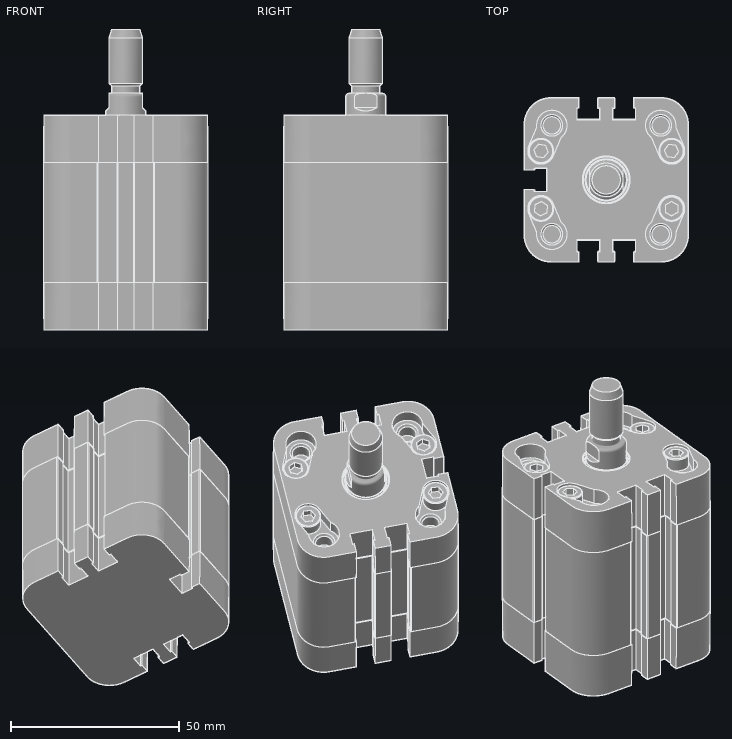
import cadquery as cq
import math

width = 49.0
corner_radius = 8.05
cap_height = 14.1
barrel_height = 35.7
cap_draft = 0.4
barrel_top = cap_height + barrel_height
housing_top = barrel_top + cap_height
total_height = 89.5

slot_cavity = 6.8
side_slot_depth = 6.7
barrel_pair_depth = 6.4
slot_mouth = 5.7
cap_lip = 3.0
barrel_lip = 3.3
cap_slot_offset = 5.3
barrel_slot_offset = 5.5
barrel_lip_chamfer = 0.3

mount_offset = 16.2
screw_x = 19.4
screw_y = 8.6
pocket_depth = 4.7
pocket_end_diameter = 9.0
pocket_width = 7.9
mount_diameter = 5.2
mount_mouth_diameter = 6.4
mount_depth = 5.4
screw_head_diameter = 7.5
screw_head_chamfer = 0.3
screw_head_recess = 0.6
socket_corner_diameter = 4.3
socket_depth = 2.5
corners = [(-1, 1, -9), (1, 1, -5), (-1, -1, 26), (1, -1, 30)]

rod_diameter = 12.0
thread_diameter = 10.0
neck_diameter = 8.4
tip_height = 2.5
thread_bottom = 73.5
neck_top = thread_bottom - (thread_diameter - neck_diameter) / 2
shoulder = 70.5
shoulder_fillet = 1.1
neck_fillet = 0.3
flat_bottom = 66.2

wiper_diameter = 12.5
wiper_recess = 0.3
groove_diameter = 13.7
groove_mouth_diameter = 14.2
groove_depth = 1.3

overlap = 0.9


def slot_cutter(lip, depth, chamfer, offset, side_angle):
    """Slot tool for the side found by turning the -Y side by side_angle about Z."""
    half_mouth = slot_mouth / 2
    half_cavity = slot_cavity / 2
    flare = half_mouth + chamfer
    right_half = [(flare, -overlap), (flare, 0)]
    if chamfer:
        right_half += [(half_mouth, chamfer), (half_mouth, lip - chamfer)]
    right_half += [(flare, lip), (half_cavity, lip), (half_cavity, depth)]
    left_half = [(-x, y) for x, y in reversed(right_half)]
    return (
        cq.Workplane("XY")
        .polyline(right_half + left_half)
        .close()
        .extrude(housing_top)
        .translate((offset, -width / 2, 0))
        .rotate((0, 0, 0), (0, 0, 1), side_angle)
    )


def cut_slots(body, lip, pair_depth, chamfer, pair_offset):
    for side_angle in (0, 180):
        for offset in (-pair_offset, pair_offset):
            body = body.cut(slot_cutter(lip, pair_depth, chamfer, offset, side_angle))
    return body.cut(slot_cutter(lip, side_slot_depth, chamfer, 0, -90))


def rounded_square():
    return cq.Sketch().rect(width, width).vertices().fillet(corner_radius)


def make_barrel():
    body = cq.Workplane("XY", origin=(0, 0, cap_height)).placeSketch(rounded_square())
    body = body.extrude(barrel_height)
    return cut_slots(body, barrel_lip, barrel_pair_depth, barrel_lip_chamfer, barrel_slot_offset)


def make_cap_blank():
    """Slotted cap with its wide face on Z = 0, narrowing upwards."""
    body = cq.Workplane("XY").placeSketch(rounded_square()).extrude(cap_height, taper=cap_draft)
    return cut_slots(body, cap_lip, side_slot_depth, 0, cap_slot_offset)


def make_bottom_cap():
    return make_cap_blank().mirror("XY").translate((0, 0, cap_height))


def make_pocket(x_side, y_side):
    """Keyhole pocket: a wide round end at the mounting hole, a parallel slot to the screw."""
    mount = (x_side * mount_offset, y_side * mount_offset)
    screw = (x_side * screw_x, y_side * screw_y)
    run_x = screw[0] - mount[0]
    run_y = screw[1] - mount[1]
    middle = ((mount[0] + screw[0]) / 2, (mount[1] + screw[1]) / 2)
    slot_length = math.hypot(run_x, run_y) + pocket_width
    slot_angle = math.degrees(math.atan2(run_y, run_x))
    slot = cq.Workplane("XY").center(*middle).slot2D(slot_length, pocket_width, slot_angle)
    round_end = cq.Workplane("XY").center(*mount).circle(pocket_end_diameter / 2)
    pocket = slot.extrude(pocket_depth).union(round_end.extrude(pocket_depth))
    return pocket.translate((0, 0, housing_top - pocket_depth))


def make_mount_hole(x_side, y_side):
    """Blind hole in the pocket floor with a 45 degree countersink."""
    radius = mount_diameter / 2
    mouth_radius = mount_mouth_diameter / 2
    profile = [
        (0, 0),
        (mouth_radius, 0),
        (radius, radius - mouth_radius),
        (radius, -mount_depth),
        (0, -mount_depth),
    ]
    hole = cq.Workplane("XZ").polyline(profile).close().revolve(360, (0, 0, 0), (0, 1, 0))
    return hole.translate(
        (x_side * mount_offset, y_side * mount_offset, housing_top - pocket_depth)
    )


def make_screw_head(x_side, y_side, socket_turn):
    """Round head on the pocket floor with a hexagon socket."""
    head_height = pocket_depth - screw_head_recess
    head = cq.Workplane("XY").circle(screw_head_diameter / 2).extrude(head_height)
    head = head.faces(">Z").edges().chamfer(screw_head_chamfer)
    socket = (
        cq.Workplane("XY", origin=(0, 0, head_height - socket_depth))
        .polygon(6, socket_corner_diameter)
        .extrude(socket_depth)
        .rotate((0, 0, 0), (0, 0, 1), socket_turn)
    )
    return head.cut(socket).translate(
        (x_side * screw_x, y_side * screw_y, housing_top - pocket_depth)
    )


def make_rod_opening():
    """Hole for the rod and the ring groove around it, with the groove flared at the cap face."""
    rod_radius = rod_diameter / 2
    wiper_radius = wiper_diameter / 2
    groove_radius = groove_diameter / 2
    mouth_radius = groove_mouth_diameter / 2
    wiper_top = housing_top - wiper_recess
    groove_floor = housing_top - groove_depth
    profile = [
        (0, barrel_top),
        (rod_radius, barrel_top),
        (rod_radius, wiper_top - (wiper_radius - rod_radius)),
        (wiper_radius, wiper_top),
        (wiper_radius, groove_floor),
        (groove_radius, groove_floor),
        (groove_radius, housing_top - (mouth_radius - groove_radius)),
        (mouth_radius, housing_top),
        (0, housing_top),
    ]
    return cq.Workplane("XZ").polyline(profile).close().revolve(360, (0, 0, 0), (0, 1, 0))


def make_top_cap():
    body = make_cap_blank().translate((0, 0, barrel_top)).cut(make_rod_opening())
    for x_side, y_side, socket_turn in corners:
        body = body.cut(make_pocket(x_side, y_side))
        body = body.cut(make_mount_hole(x_side, y_side))
        body = body.union(make_screw_head(x_side, y_side, socket_turn))
    return body


def make_flat_cutter():
    """Tool for the +X wrench flat, with a 45 degree run-out at its lower end."""
    flat = thread_diameter / 2
    reach = rod_diameter / 2 + overlap
    profile = [
        (flat, flat_bottom),
        (reach, flat_bottom - (reach - flat)),
        (reach, shoulder),
        (flat, shoulder),
    ]
    return cq.Workplane("XZ").polyline(profile).close().extrude(rod_diameter / 2, both=True)


def make_rod():
    rod_radius = rod_diameter / 2
    thread_radius = thread_diameter / 2
    neck_radius = neck_diameter / 2
    shoulder_radius = rod_radius - shoulder_fillet
    shoulder_start = shoulder - shoulder_fillet
    shoulder_rise = shoulder_fillet * math.sqrt(0.5)
    shoulder_middle = (shoulder_radius + shoulder_rise, shoulder_start + shoulder_rise)
    neck_drop = neck_fillet * (1 - math.sqrt(0.5))
    neck_middle = (neck_radius + neck_drop, shoulder + neck_drop)
    rod = (
        cq.Workplane("XZ")
        .moveTo(0, barrel_top)
        .lineTo(rod_radius, barrel_top)
        .lineTo(rod_radius, shoulder_start)
        .threePointArc(shoulder_middle, (shoulder_radius, shoulder))
        .lineTo(neck_radius + neck_fillet, shoulder)
        .threePointArc(neck_middle, (neck_radius, shoulder + neck_fillet))
        .lineTo(neck_radius, neck_top)
        .lineTo(thread_radius, thread_bottom)
        .lineTo(thread_radius, total_height - tip_height)
        .lineTo(neck_radius, total_height)
        .lineTo(0, total_height)
        .close()
        .revolve(360, (0, 0, 0), (0, 1, 0))
    )
    flat_cutter = make_flat_cutter()
    return rod.cut(flat_cutter).cut(flat_cutter.mirror("YZ"))


bottom_cap = make_bottom_cap()
barrel = make_barrel()
top_cap = make_top_cap()
rod = make_rod()
bodies = [bottom_cap, barrel, top_cap, rod]
result = cq.Compound.makeCompound([body.solids().val() for body in bodies])